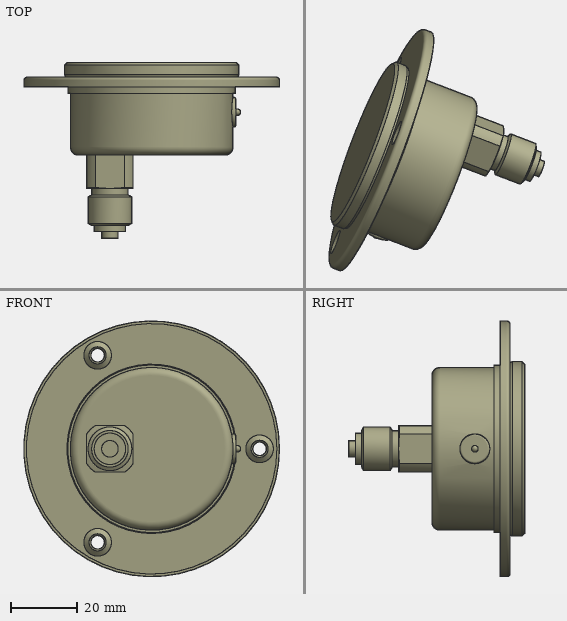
import cadquery as cq
import math


bezel_dia = 52.6
bezel_depth = 4.4
bezel_chamfer = 0.85
bezel_back_chamfer_length = 0.7
bezel_back_chamfer_width = 0.3

flange_dia = 77
flange_inner_dia = 75.4
flange_height = 3.0
flange_bore_dia = 51.0
flange_fillet = 1.1
sheet = (flange_dia - flange_inner_dia) / 2
flange_back_depth = bezel_depth + flange_height
floor_depth = bezel_depth + sheet

collar_dia = 50.4
collar_depth = 9.3
case_dia = 49.0
case_depth = 27.95
case_fillet = 2.4

screw_count = 3
screw_circle_radius = 32.5
dimple_dia = 8.3
dimple_top_dia = 5.15
screw_hole_dia = 4.0
dimple_height = 1.3

connector_x = -12.55
square_width = 14.0
square_corner_dia = 16.55
square_depth = 37.95
square_end_dia = 13.8
square_chamfer_length = 0.3
neck_dia = 11.0
neck_end_depth = 39.9
thread_dia = 13.2
thread_end_depth = 49.1
thread_chamfer_length = 0.6
spigot_dia = 9.5
spigot_end_depth = 51.0
tip_dia = 5.0
tip_end_depth = 53.0

disc_dia = 9.0
disc_inner_x = 23.95
disc_outer_x = 25.3
disc_fillet = 0.6
disc_center_depth = 15.0
knob_dia = 2.0
knob_rim_x = 25.7
knob_top_x = 26.8


def cylinder(diameter, start_depth, end_depth):
    """Cylinder on the gauge axis between two depths."""
    plane = cq.Workplane("XZ", origin=(0, -start_depth, 0))
    return plane.circle(diameter / 2).extrude(end_depth - start_depth)


def revolve_about_y(points):
    """Solid of revolution from (radius, depth) points."""
    profile = [(radius, -depth) for radius, depth in points]
    return cq.Workplane("XY").polyline(profile).close().revolve(360, (0, 0), (0, 1))


def make_bezel():
    radius = bezel_dia / 2
    return revolve_about_y([
        (0, 0),
        (radius - bezel_chamfer, 0),
        (radius, bezel_chamfer),
        (radius, bezel_depth - bezel_back_chamfer_length),
        (radius - bezel_back_chamfer_width, bezel_depth),
        (0, bezel_depth),
    ])


def make_flange():
    disc = cylinder(flange_dia, bezel_depth, flange_back_depth).faces(">Y").edges().fillet(flange_fillet)
    dish = cylinder(flange_inner_dia, floor_depth, flange_back_depth)
    bore = cylinder(flange_bore_dia, bezel_depth, flange_back_depth)
    return disc.cut(dish).cut(bore)


def make_case():
    collar = cylinder(collar_dia, bezel_depth, collar_depth)
    case = cylinder(case_dia, bezel_depth, case_depth).faces("<Y").edges().fillet(case_fillet)
    return collar.union(case)


def dimple_screw_holes(flange):
    """Raise a cone round each screw and sink a matching cone into the front."""
    top_depth = floor_depth + dimple_height
    slope = (dimple_dia - dimple_top_dia) / 2 / dimple_height
    edge_depth = top_depth - slope * (dimple_top_dia - screw_hole_dia) / 2
    sink_radius = screw_hole_dia / 2 + slope * (edge_depth - bezel_depth)
    cone = revolve_about_y([
        (0, bezel_depth),
        (dimple_dia / 2, bezel_depth),
        (dimple_dia / 2, floor_depth),
        (dimple_top_dia / 2, top_depth),
        (0, top_depth),
    ])
    opening = revolve_about_y([
        (0, bezel_depth),
        (sink_radius, bezel_depth),
        (screw_hole_dia / 2, edge_depth),
        (dimple_top_dia / 2, top_depth),
        (0, top_depth),
    ])
    for index in range(screw_count):
        angle = 2 * math.pi * index / screw_count
        place = (screw_circle_radius * math.cos(angle), 0, screw_circle_radius * math.sin(angle))
        flange = flange.union(cone.translate(place)).cut(opening.translate(place))
    return flange


def make_connector():
    square = (
        cq.Workplane("XZ", origin=(0, -case_depth, 0))
        .rect(square_width, square_width)
        .extrude(square_depth - case_depth)
    )
    turned_blank = revolve_about_y([
        (0, case_depth),
        (square_corner_dia / 2, case_depth),
        (square_corner_dia / 2, square_depth - square_chamfer_length),
        (square_end_dia / 2, square_depth),
        (0, square_depth),
    ])
    stem = revolve_about_y([
        (0, square_depth),
        (neck_dia / 2, square_depth),
        (neck_dia / 2, neck_end_depth),
        (thread_dia / 2, neck_end_depth + thread_chamfer_length),
        (thread_dia / 2, thread_end_depth - thread_chamfer_length),
        (neck_dia / 2, thread_end_depth),
        (spigot_dia / 2, thread_end_depth),
        (spigot_dia / 2, spigot_end_depth),
        (tip_dia / 2, spigot_end_depth),
        (tip_dia / 2, tip_end_depth),
        (0, tip_end_depth),
    ])
    return square.intersect(turned_blank).union(stem).translate((connector_x, 0, 0))


def make_blowout_disc():
    disc = (
        cq.Workplane("YZ", origin=(disc_inner_x, -disc_center_depth, 0))
        .circle(disc_dia / 2)
        .extrude(disc_outer_x - disc_inner_x)
        .edges()
        .fillet(disc_fillet)
    )
    knob_radius = knob_dia / 2
    dome_height = knob_top_x - knob_rim_x
    dome_radius = (knob_radius ** 2 + dome_height ** 2) / (2 * dome_height)
    dome_center_x = knob_top_x - dome_radius
    half_angle = math.atan2(knob_radius, knob_rim_x - dome_center_x) / 2
    dome_mid = (
        dome_center_x + dome_radius * math.cos(half_angle),
        dome_radius * math.sin(half_angle),
    )
    knob = (
        cq.Workplane("XY")
        .moveTo(disc_inner_x, 0)
        .lineTo(disc_inner_x, knob_radius)
        .lineTo(knob_rim_x, knob_radius)
        .threePointArc(dome_mid, (knob_top_x, 0))
        .close()
        .revolve(360, (0, 0), (1, 0))
        .translate((0, -disc_center_depth, 0))
    )
    return disc.union(knob)


result = (
    dimple_screw_holes(make_flange())
    .union(make_bezel())
    .union(make_case())
    .union(make_connector())
    .union(make_blowout_disc())
)